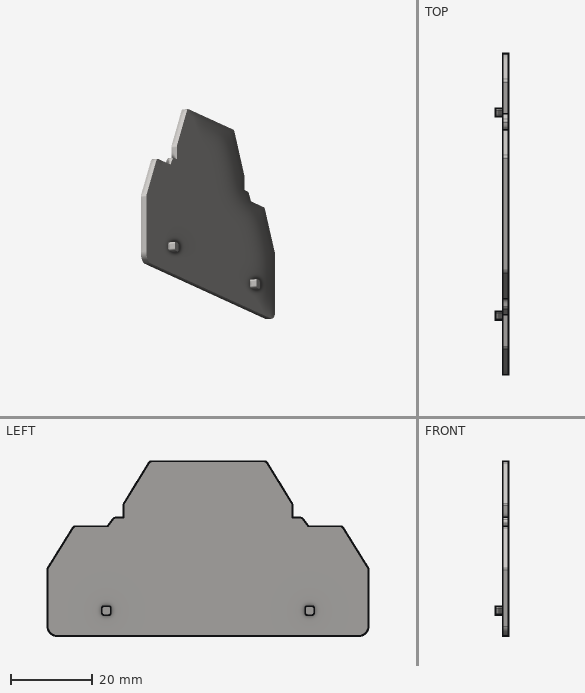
import cadquery as cq

PLATE_THICKNESS = 1.5
PLATE_LENGTH = 79.05
PLATE_HEIGHT = 43.08
BOTTOM_CORNER_RADIUS = 2.5
EDGE_CORNER_RADIUS = 1.0

TOP_HALF_LENGTH = 14.3
UPPER_WALL_HALF_LENGTH = 20.8
STEP_HALF_LENGTH = 23.1
LEDGE_INNER_HALF_LENGTH = 24.7
LEDGE_OUTER_HALF_LENGTH = 33.0
END_HALF_LENGTH = PLATE_LENGTH / 2

LOWER_SLOPE_BASE = 16.6
LEDGE_HEIGHT = 27.1
STEP_HEIGHT = 29.2
UPPER_SLOPE_BASE = 32.5

PEG_SIZE = 2.2
PEG_LENGTH = 1.75
PEG_CORNER_RADIUS = 0.5
PEG_SPACING = 50.0
PEG_HEIGHT = 6.3

HALF_OUTLINE = [
    (END_HALF_LENGTH, 0),
    (END_HALF_LENGTH, LOWER_SLOPE_BASE),
    (LEDGE_OUTER_HALF_LENGTH, LEDGE_HEIGHT),
    (LEDGE_INNER_HALF_LENGTH, LEDGE_HEIGHT),
    (STEP_HALF_LENGTH, STEP_HEIGHT),
    (UPPER_WALL_HALF_LENGTH, STEP_HEIGHT),
    (UPPER_WALL_HALF_LENGTH, UPPER_SLOPE_BASE),
    (TOP_HALF_LENGTH, PLATE_HEIGHT),
]

ROUNDED_CORNERS = [
    (END_HALF_LENGTH, LOWER_SLOPE_BASE),
    (LEDGE_OUTER_HALF_LENGTH, LEDGE_HEIGHT),
    (STEP_HALF_LENGTH, STEP_HEIGHT),
    (UPPER_WALL_HALF_LENGTH, UPPER_SLOPE_BASE),
    (TOP_HALF_LENGTH, PLATE_HEIGHT),
]
BOTTOM_CORNERS = [(END_HALF_LENGTH, 0)]


def mirrored(points):
    """Reflect points across the mid plane Y = 0."""
    return [(-y, z) for y, z in points]


def round_corners(plate, corners, radius):
    """Round the edges through the thickness at the given corners and their mirror images."""
    middle = PLATE_THICKNESS / 2
    edges = cq.Workplane("XY")
    for y, z in corners + mirrored(corners):
        nearest = cq.selectors.NearestToPointSelector((middle, y, z))
        edges = edges.add(plate.edges("|X").edges(nearest))
    return plate.newObject([plate.val().fillet(radius, edges.vals())])


def make_plate():
    """Symmetric stepped plate with its pegged face at X = 0."""
    outline = HALF_OUTLINE + mirrored(HALF_OUTLINE)[::-1]
    plate = cq.Workplane("YZ").polyline(outline).close().extrude(PLATE_THICKNESS)
    plate = round_corners(plate, ROUNDED_CORNERS, EDGE_CORNER_RADIUS)
    return round_corners(plate, BOTTOM_CORNERS, BOTTOM_CORNER_RADIUS)


def make_pegs():
    """Two round-cornered square pegs standing out toward -X."""
    return (
        cq.Workplane("YZ")
        .pushPoints([(-PEG_SPACING / 2, PEG_HEIGHT), (PEG_SPACING / 2, PEG_HEIGHT)])
        .rect(PEG_SIZE, PEG_SIZE)
        .extrude(-PEG_LENGTH)
        .edges("|X")
        .fillet(PEG_CORNER_RADIUS)
    )


result = make_plate().union(make_pegs())